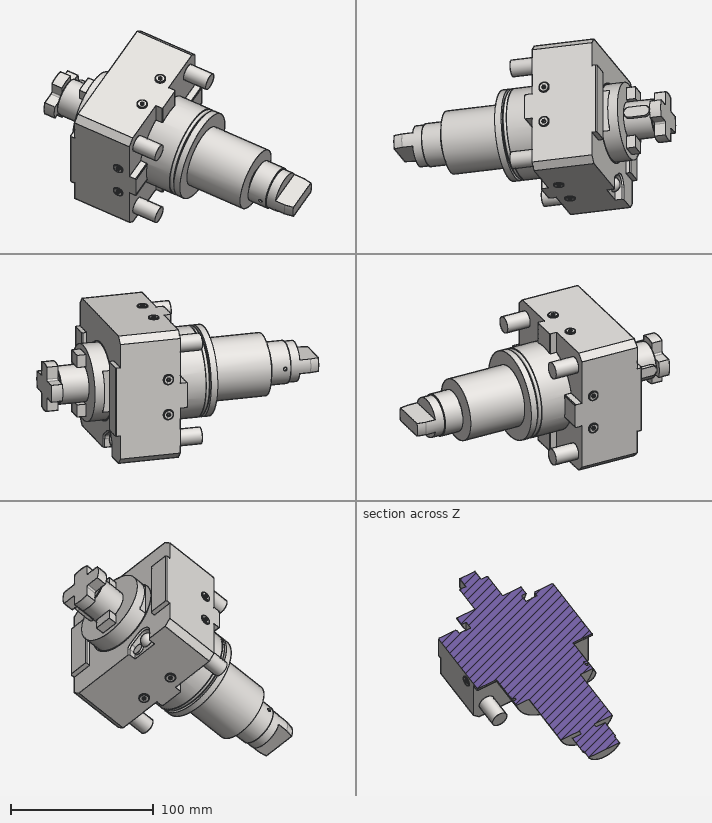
import cadquery as cq
import math


BLOCK_SIZE = 94.5
BLOCK_LENGTH = 44.0
BLOCK_CHAMFER = 4.75
HALF = BLOCK_SIZE / 2
FRONT_X = -BLOCK_LENGTH

RAIL_INNER_Y = 31.9
RAIL_HEIGHT = 50.6
RAIL_THICKNESS = 3.6
RAIL_CHAMFER = 0.8

TAB_WIDTH = 18.4
TAB_LENGTH = 5.4
TAB_INNER_RADIUS = 28.0
TAB_CHAMFER = 0.6
DOWEL_DIAMETER = 12.0
DOWEL_LENGTH = 17.8
DOWEL_Y = 36.5
DOWEL_Z = 34.8

SCREW_X = -8.9
SCREW_SPACING = 26.0
SCREW_HEAD_DIAMETER = 7.5
SCREW_HEAD_HEIGHT = 1.05
SCREW_HEAD_CHAMFER = 0.5
SOCKET_ACROSS_CORNERS = 3.0
SOCKET_DEPTH = 0.6
PILOT_DIAMETER = 1.5

FLANGE_RADIUS = 27.5
FLANGE_FRONT_X = -56.5
FLANGE_FLAT_Y = 22.9
FLANGE_FLAT_LENGTH = 5.4
FLANGE_RECESS_RADIUS = 28.4
FLANGE_RECESS_DEPTH = 0.3

TONGUE_WIDTH = 12.7
TONGUE_HEIGHT = 45.8
TONGUE_GAP = 27.7
TONGUE_DEPTH = 6.5
SHAFT_RADIUS = 13.5
SHAFT_CHAMFER = 0.5
KEY_FRONT_X = -76.2
KEY_LENGTH = 18.8
KEY_WIDTH = 7.6
KEY_TOP_Y = 15.8

CROSS_FRONT_X = -85.2
CROSS_THICKNESS = 8.2
CROSS_RADIUS = 17.55
CROSS_ARM_WIDTH = 12.5
CROSS_FILLET = 1.2
CROSS_BACK_X = CROSS_FRONT_X + CROSS_THICKNESS

SHANK_RADIUS = 32.4
GROOVE_START_X = 23.7
GROOVE_END_X = 27.4
GROOVE_RADIUS = 29.8
SEAL_SECTION_RADIUS = 1.4
SEAL_SQUEEZE = 0.2
SHANK_END_X = 32.2
BARREL_RADIUS = 22.4
BARREL_END_X = 74.9
NECK_RADIUS = 9.3
NECK_END_X = 77.4
COLLAR_RADIUS = 15.3
COLLAR_END_X = 91.6
COLLAR_CHAMFER = 0.4

TANG_RADIUS = 14.55
TANG_THICKNESS = 10.2
TANG_SHOULDER_X = 98.4
TANG_TAPER_X = 106.1
TANG_TIP_RADIUS = 13.5
TANG_END_X = 112.3

SET_HOLE_X = 87.2
SET_HOLE_DIAMETER = 2.6
SET_HOLE_DEPTH = 1.5

BALL_Y, BALL_Z = -19.8, -38.0
BALL_RADIUS = 5.4
BALL_LOBE_RADIUS = 7.4
PLUG_Y, PLUG_Z = -11.1, -40.9
PLUG_LOBE_RADIUS = 5.3
PLUG_HEIGHT = 1.6
PLUG_RADIUS = 4.0
POCKET_DEPTH = 6.0
POCKET_CHAMFER = 1.1
POCKET_OVERRUN = 5.0


def cylinder_x(x_start, x_end, radius, y=0.0, z=0.0):
    """Cylinder along X between two stations."""
    circle = cq.Workplane("YZ", origin=(x_start, y, z)).circle(radius)
    return circle.extrude(x_end - x_start)


def box_between(x_range, y_range, z_range):
    """Box from its limits along X, Y and Z."""
    (x0, x1), (y0, y1), (z0, z1) = x_range, y_range, z_range
    box = cq.Workplane("XY").box(x1 - x0, y1 - y0, z1 - z0, centered=False)
    return box.translate((x0, y0, z0))


def around_x(shape, angle):
    """Copy of a shape turned about the spindle axis, in degrees."""
    return shape.rotate((0, 0, 0), (1, 0, 0), angle)


def make_block():
    block = box_between((FRONT_X, 0), (-HALF, HALF), (-HALF, HALF))
    block = block.edges("|X").chamfer(BLOCK_CHAMFER)
    recess = cylinder_x(FRONT_X, FRONT_X + FLANGE_RECESS_DEPTH, FLANGE_RECESS_RADIUS)
    return block.cut(recess)


def make_rails():
    rail = box_between(
        (FRONT_X - RAIL_THICKNESS, FRONT_X),
        (RAIL_INNER_Y, HALF),
        (-RAIL_HEIGHT / 2, RAIL_HEIGHT / 2),
    )
    rail = rail.faces("<X").edges("|Z").chamfer(RAIL_CHAMFER)
    return rail.union(rail.mirror("XZ"))


def make_tabs():
    """Four tabs that run from the shank out to the sides of the block."""
    tab = box_between(
        (0, TAB_LENGTH),
        (-TAB_WIDTH / 2, TAB_WIDTH / 2),
        (TAB_INNER_RADIUS, HALF),
    )
    tab = tab.faces(">X").edges("|Z").chamfer(TAB_CHAMFER)
    tabs = tab
    for angle in (90, 180, 270):
        tabs = tabs.union(around_x(tab, angle))
    return tabs


def make_dowels():
    dowels = cq.Workplane("YZ").rect(2 * DOWEL_Y, 2 * DOWEL_Z, forConstruction=True)
    return dowels.vertices().circle(DOWEL_DIAMETER / 2).extrude(DOWEL_LENGTH)


def make_screw_heads():
    """A pair of socket screw heads on each of the four sides."""
    half_spacing = SCREW_SPACING / 2
    places = [(SCREW_X, -half_spacing), (SCREW_X, half_spacing)]
    side = cq.Workplane("XY", origin=(0, 0, HALF))
    pair = side.pushPoints(places).circle(SCREW_HEAD_DIAMETER / 2).extrude(SCREW_HEAD_HEIGHT)
    pair = pair.faces(">Z").chamfer(SCREW_HEAD_CHAMFER)
    top = cq.Workplane("XY", origin=(0, 0, HALF + SCREW_HEAD_HEIGHT))
    sockets = top.pushPoints(places).polygon(6, SOCKET_ACROSS_CORNERS).extrude(-SOCKET_DEPTH)
    pilots = top.pushPoints(places).circle(PILOT_DIAMETER / 2).extrude(-SCREW_HEAD_HEIGHT)
    pair = pair.cut(sockets).cut(pilots)
    heads = pair
    for angle in (90, 180, 270):
        heads = heads.union(around_x(pair, angle))
    return heads


def make_flange():
    flange = cylinder_x(FLANGE_FRONT_X, FRONT_X + FLANGE_RECESS_DEPTH, FLANGE_RADIUS)
    flat_x = (FRONT_X - FLANGE_FLAT_LENGTH, FRONT_X + FLANGE_RECESS_DEPTH)
    flat = box_between(
        flat_x,
        (FLANGE_FLAT_Y, FLANGE_RADIUS),
        (-FLANGE_RADIUS, FLANGE_RADIUS),
    )
    return flange.cut(flat).cut(flat.mirror("XZ"))


def make_tongues():
    tongue = box_between(
        (FLANGE_FRONT_X - TONGUE_DEPTH, FLANGE_FRONT_X),
        (-TONGUE_WIDTH / 2, TONGUE_WIDTH / 2),
        (TONGUE_GAP / 2, TONGUE_HEIGHT / 2),
    )
    return tongue.union(tongue.mirror("XY"))


def make_front_shaft():
    shaft = cylinder_x(CROSS_BACK_X, FLANGE_FRONT_X, SHAFT_RADIUS)
    shaft = shaft.faces("<X").chamfer(SHAFT_CHAMFER)
    key_center_x = KEY_FRONT_X + KEY_LENGTH / 2
    key = cq.Workplane("XZ", origin=(key_center_x, 0, 0))
    key = key.slot2D(KEY_LENGTH, KEY_WIDTH).extrude(-KEY_TOP_Y)
    return shaft.union(key)


def make_cross():
    plane = cq.Workplane("YZ", origin=(CROSS_FRONT_X, 0, 0))
    arm_length = 2 * CROSS_RADIUS
    cross = plane.rect(arm_length, CROSS_ARM_WIDTH).extrude(CROSS_THICKNESS)
    cross = cross.union(plane.rect(CROSS_ARM_WIDTH, arm_length).extrude(CROSS_THICKNESS))
    reach = CROSS_ARM_WIDTH
    inner_corners = cq.selectors.BoxSelector((CROSS_FRONT_X, -reach, -reach), (CROSS_BACK_X, reach, reach))
    cross = cross.edges("|X").edges(inner_corners).fillet(CROSS_FILLET)
    return cross.intersect(cylinder_x(CROSS_FRONT_X, CROSS_BACK_X, CROSS_RADIUS))


def make_shank():
    shank = cylinder_x(0, GROOVE_START_X, SHANK_RADIUS)
    shank = shank.union(cylinder_x(GROOVE_START_X, GROOVE_END_X, GROOVE_RADIUS))
    shank = shank.union(cylinder_x(GROOVE_END_X, SHANK_END_X, SHANK_RADIUS))
    shank = shank.union(cylinder_x(SHANK_END_X, BARREL_END_X, BARREL_RADIUS))
    shank = shank.union(cylinder_x(BARREL_END_X, NECK_END_X, NECK_RADIUS))
    return shank.union(make_seal_ring())


def make_seal_ring():
    """Round-section seal seated against the front wall and floor of the groove."""
    inset = SEAL_SECTION_RADIUS - SEAL_SQUEEZE
    center = (GROOVE_START_X + inset, GROOVE_RADIUS + inset)
    section = cq.Workplane("XY").moveTo(*center).circle(SEAL_SECTION_RADIUS)
    return section.revolve(360, (0, 0, 0), (1, 0, 0))


def make_collar():
    collar = cylinder_x(NECK_END_X, COLLAR_END_X, COLLAR_RADIUS)
    collar = collar.faces(">X").chamfer(COLLAR_CHAMFER)
    hole = cq.Workplane("XZ", origin=(SET_HOLE_X, -COLLAR_RADIUS, 0))
    return collar.cut(hole.circle(SET_HOLE_DIAMETER / 2).extrude(-SET_HOLE_DEPTH))


def make_tang():
    """Round stub with a tapered tip, cut to a flat tang above and below."""
    outline = [
        (COLLAR_END_X, 0),
        (COLLAR_END_X, TANG_RADIUS),
        (TANG_TAPER_X, TANG_RADIUS),
        (TANG_END_X, TANG_TIP_RADIUS),
        (TANG_END_X, 0),
    ]
    stub = cq.Workplane("XY").polyline(outline).close().revolve(360, (0, 0, 0), (1, 0, 0))
    flat = box_between(
        (TANG_SHOULDER_X, TANG_END_X),
        (-TANG_RADIUS, TANG_RADIUS),
        (TANG_THICKNESS / 2, TANG_RADIUS),
    )
    return stub.cut(flat).cut(flat.mirror("XY"))


def pocket_outline(x):
    """Outline around the ball and plug lobes, joined by their common tangent."""
    span_y = BALL_Y - PLUG_Y
    span_z = BALL_Z - PLUG_Z
    span = math.hypot(span_y, span_z)
    lean = math.acos((PLUG_LOBE_RADIUS - BALL_LOBE_RADIUS) / span)
    tangent = math.atan2(span_z, span_y) - lean

    def on_plug(angle):
        return (
            PLUG_Y + PLUG_LOBE_RADIUS * math.cos(angle),
            PLUG_Z + PLUG_LOBE_RADIUS * math.sin(angle),
        )

    def on_ball(angle):
        return (
            BALL_Y + BALL_LOBE_RADIUS * math.cos(angle),
            BALL_Z + BALL_LOBE_RADIUS * math.sin(angle),
        )

    below = -HALF - POCKET_OVERRUN
    outline = cq.Workplane("YZ", origin=(x, 0, 0)).moveTo(PLUG_Y + PLUG_LOBE_RADIUS, below)
    outline = outline.lineTo(*on_plug(0))
    outline = outline.threePointArc(on_plug(tangent / 2), on_plug(tangent))
    outline = outline.lineTo(*on_ball(tangent))
    outline = outline.threePointArc(on_ball((tangent + math.pi) / 2), on_ball(math.pi))
    return outline.lineTo(BALL_Y - BALL_LOBE_RADIUS, below).close()


def cut_coolant_pocket(body):
    """Chamfered pocket with a ball nozzle and a round plug standing on its floor."""
    floor_x = FRONT_X + POCKET_DEPTH
    mouth = pocket_outline(FRONT_X).extrude(POCKET_CHAMFER, taper=45)
    walls = pocket_outline(FRONT_X).offset2D(-POCKET_CHAMFER).extrude(POCKET_DEPTH)
    plug = cylinder_x(floor_x - PLUG_HEIGHT, floor_x, PLUG_RADIUS, PLUG_Y, PLUG_Z)
    ball = cq.Workplane("XY").sphere(BALL_RADIUS).translate((floor_x, BALL_Y, BALL_Z))
    return body.cut(mouth).cut(walls).union(plug).union(ball)


result = cut_coolant_pocket(make_block())
for feature in (
    make_rails(),
    make_tabs(),
    make_dowels(),
    make_screw_heads(),
    make_flange(),
    make_tongues(),
    make_front_shaft(),
    make_cross(),
    make_shank(),
    make_collar(),
    make_tang(),
):
    result = result.union(feature)